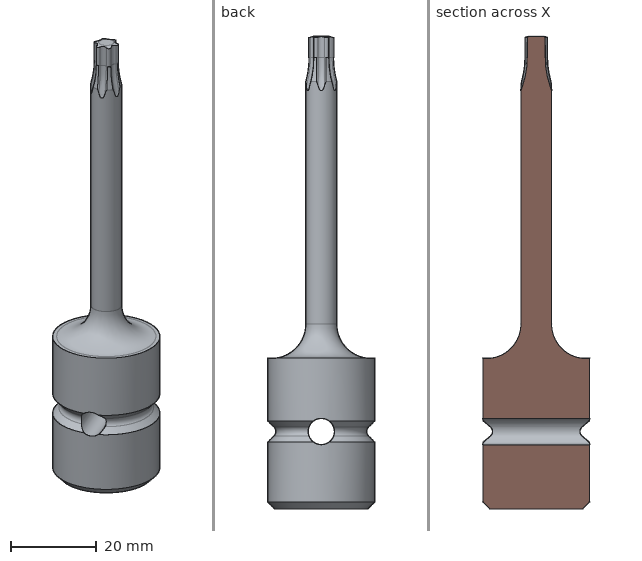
import cadquery as cq
import math

body_radius = 12.48
body_height = 35.1
bottom_chamfer_height = 1.6
bottom_chamfer_width = 1.6

groove_height = 18.0
groove_width = 5.0
groove_flank_depth = 1.4
cross_hole_diameter = 6.0

shank_radius = 3.6
flare_radius = 7.9

total_height = 110
lobe_count = 6
lobe_tip_radius = 3.0
lobe_rounding = 0.6
flute_root_radius = 2.15
tip_start = 105.0
neck_bottom = 99.4
neck_top_radius = 2.9
flute_bottom = 97.4
runout_overrun = 1.3
runout_cutter_reach = 5.0
end_face_radius = 1.8
end_bevel_height = 0.3

half_pitch = math.pi / lobe_count
lobe_center = lobe_tip_radius - lobe_rounding
flute_radius = (
    lobe_center**2 + flute_root_radius**2 - lobe_rounding**2
    - 2 * lobe_center * flute_root_radius * math.cos(half_pitch)
) / (2 * (lobe_rounding - flute_root_radius + lobe_center * math.cos(half_pitch)))
flute_center = flute_root_radius + flute_radius


def polar(radius, angle):
    return radius * math.cos(angle), radius * math.sin(angle)


lobe_share = lobe_rounding / (lobe_rounding + flute_radius)
flute_x, flute_y = polar(flute_center, half_pitch)
tangent_x = lobe_center + (flute_x - lobe_center) * lobe_share
tangent_y = flute_y * lobe_share
tangent_radius = math.hypot(tangent_x, tangent_y)
tangent_angle = math.atan2(tangent_y, tangent_x)


def tangent_arc_middle(radius, end_radius, rise):
    """Radius and drop halfway along an arc that leaves a vertical line and moves outward."""
    outward = end_radius - radius
    arc_radius = (rise**2 + outward**2) / (2 * outward)
    half_angle = math.asin(rise / arc_radius) / 2
    return radius + arc_radius * (1 - math.cos(half_angle)), arc_radius * math.sin(half_angle)


def make_turned_blank():
    """Body, flare, shank and the neck narrowing to the start of the tip."""
    flare_mid = flare_radius * (1 - math.sqrt(0.5))
    neck_mid_radius, neck_mid_drop = tangent_arc_middle(
        neck_top_radius, shank_radius, tip_start - neck_bottom
    )
    return (
        cq.Workplane("XZ")
        .lineTo(body_radius - bottom_chamfer_width, 0)
        .lineTo(body_radius, bottom_chamfer_height)
        .lineTo(body_radius, body_height)
        .lineTo(shank_radius + flare_radius, body_height)
        .threePointArc(
            (shank_radius + flare_mid, body_height + flare_mid),
            (shank_radius, body_height + flare_radius),
        )
        .lineTo(shank_radius, neck_bottom)
        .threePointArc((neck_mid_radius, tip_start - neck_mid_drop), (neck_top_radius, tip_start))
        .lineTo(0, tip_start)
        .close()
        .revolve(360, (0, 0), (0, 1))
    )


def make_groove():
    """Ring with sloping flanks and a rounded floor."""
    half_width = groove_width / 2
    flank_radius = body_radius - groove_flank_depth
    flank_half_width = half_width - groove_flank_depth
    floor_radius = flank_radius - flank_half_width * math.tan(math.pi / 8)
    return (
        cq.Workplane("XZ")
        .moveTo(body_radius, groove_height - half_width)
        .lineTo(flank_radius, groove_height - flank_half_width)
        .threePointArc(
            (floor_radius, groove_height),
            (flank_radius, groove_height + flank_half_width),
        )
        .lineTo(body_radius, groove_height + half_width)
        .close()
        .revolve(360, (0, 0), (0, 1))
    )


def make_cross_hole():
    return (
        cq.Workplane("XZ")
        .center(0, groove_height)
        .circle(cross_hole_diameter / 2)
        .extrude(body_radius, both=True)
    )


def make_lobed_tip():
    """Straight six-lobe prism with a bevelled end."""
    outline = cq.Workplane("XY", origin=(0, 0, tip_start)).moveTo(*polar(tangent_radius, -tangent_angle))
    for index in range(lobe_count):
        angle = 2 * half_pitch * index
        outline = outline.threePointArc(
            polar(lobe_tip_radius, angle), polar(tangent_radius, angle + tangent_angle)
        ).threePointArc(
            polar(flute_root_radius, angle + half_pitch),
            polar(tangent_radius, angle + 2 * half_pitch - tangent_angle),
        )
    prism = outline.close().extrude(total_height - tip_start)

    bevel_envelope = (
        cq.Workplane("XZ")
        .moveTo(0, tip_start)
        .lineTo(shank_radius, tip_start)
        .lineTo(shank_radius, total_height - end_bevel_height)
        .lineTo(lobe_tip_radius, total_height - end_bevel_height)
        .lineTo(end_face_radius, total_height)
        .lineTo(0, total_height)
        .close()
        .revolve(360, (0, 0), (0, 1))
    )
    return prism.intersect(bevel_envelope)


def make_flute_runout():
    """Cutter for the space between two lobe crests, curving outward down through the shank surface."""
    rise = tip_start - flute_bottom
    runout = shank_radius - flute_root_radius
    arc_radius = (rise**2 + runout**2) / (2 * runout)
    sweep_angle = runout_overrun * math.degrees(math.asin(rise / arc_radius))
    axis_x = flute_root_radius + arc_radius
    crest_x, crest_y = polar(lobe_tip_radius, half_pitch)
    edge_angle = half_pitch - tangent_angle
    lobe_turn = math.atan2(tangent_y, tangent_x - lobe_center)
    lobe_middle_angle = half_pitch - lobe_turn / 2
    lobe_middle_x = lobe_center * math.cos(half_pitch) + lobe_rounding * math.cos(lobe_middle_angle)
    lobe_middle_y = lobe_center * math.sin(half_pitch) + lobe_rounding * math.sin(lobe_middle_angle)
    outer_x, outer_y = polar(runout_cutter_reach, half_pitch)
    return (
        cq.Workplane("XY", origin=(0, 0, tip_start))
        .moveTo(crest_x, -crest_y)
        .threePointArc((lobe_middle_x, -lobe_middle_y), polar(tangent_radius, -edge_angle))
        .threePointArc((flute_root_radius, 0), polar(tangent_radius, edge_angle))
        .threePointArc((lobe_middle_x, lobe_middle_y), (crest_x, crest_y))
        .lineTo(outer_x, outer_y)
        .lineTo(outer_x, -outer_y)
        .close()
        .revolve(sweep_angle, (axis_x, 1.1), (axis_x, 0))
    )


result = make_turned_blank().cut(make_groove()).cut(make_cross_hole())
flute_runout = make_flute_runout()
for index in range(lobe_count):
    flute_angle = math.degrees(half_pitch * (2 * index + 1))
    result = result.cut(flute_runout.rotate((0, 0, 0), (0, 0, 1), flute_angle))
result = result.union(make_lobed_tip())